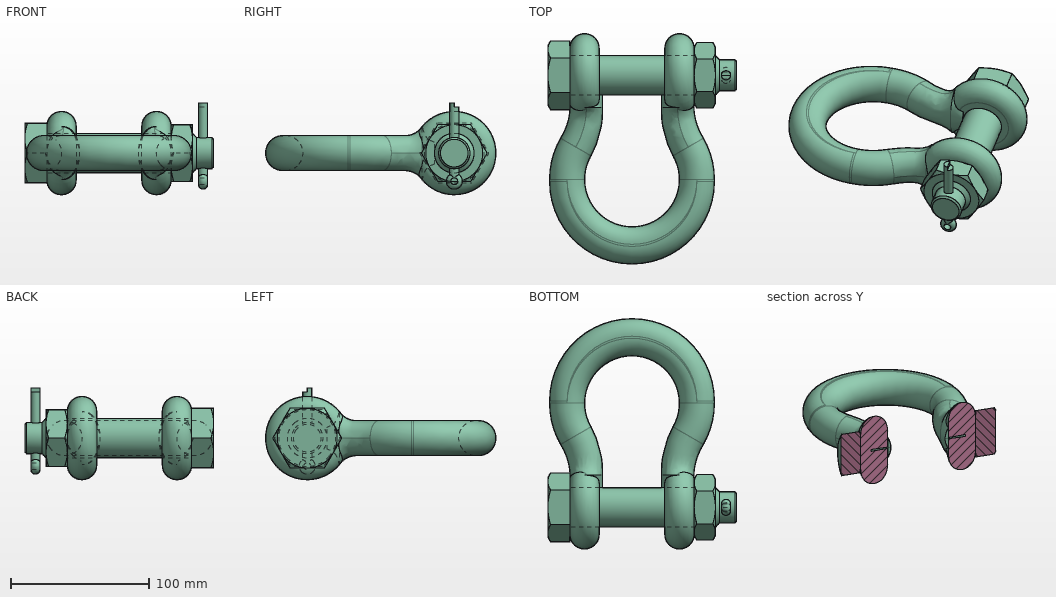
import cadquery as cq
import math


bar_diameter = 25.5
bow_inner_radius = 34.2
bow_center_y = -75.3
crown_shift = 1.5
neck_angle = 30

eye_radius = 30.2
eye_width = 21.3
eye_x = 34.3

neck_end_x = 33.0
neck_end_half_width = 11.8
neck_blend_radius = 14.2
neck_sections = 11
neck_root_y = -14.3

bolt_radius = 14.3
head_left_x = -60.8
head_across_flats = 43.2
nut_right_x = 60.3
nut_across_flats = 41.2
hex_chamfer_angle = 30
tip_radius = 11.3
bolt_end_x = 75.6
tip_chamfer = 1.3
cotter_x = 68.0
cotter_radius = 3.3
front_leg_top_z = 36.3
back_leg_top_z = 33.3
cotter_ring_z = -20.3
cotter_ring_radius = 5.8

bar_radius = bar_diameter / 2
bow_radius = bow_inner_radius + bar_radius
crown_center_y = bow_center_y - crown_shift
eye_outer_x = eye_x + eye_width / 2
neck_turn = math.radians(neck_angle)
neck_start_x = bow_radius * math.cos(neck_turn)
neck_start_y = bow_center_y + bow_radius * math.sin(neck_turn)
neck_bend_radius = (neck_start_x - neck_end_x) / (1 - math.cos(neck_turn))
neck_end_y = neck_start_y + neck_bend_radius * math.sin(neck_turn)
blend_center_z = bar_radius + neck_blend_radius
blend_center_y = -math.sqrt((eye_radius + neck_blend_radius) ** 2 - blend_center_z**2)


def half_ring(center_y, side):
    """Half turn of a half-round bar; side is -1 for the inner half and +1 for the outer half."""
    return (
        cq.Workplane("XZ", origin=(0, center_y, 0))
        .moveTo(bow_radius, -bar_radius)
        .threePointArc((bow_radius + side * bar_radius, 0), (bow_radius, bar_radius))
        .close()
        .revolve(180, (0, 0), (0, -1))
    )


def crown_flank(side):
    """Short straight half-round bar that joins the offset outer ring to the bow above it."""
    return (
        cq.Workplane("XZ", origin=(side * bow_radius, bow_center_y, 0))
        .moveTo(0, -bar_radius)
        .threePointArc((side * bar_radius, 0), (0, bar_radius))
        .close()
        .extrude(crown_shift)
    )


def make_crown():
    """Lower half of the bow: offset inner and outer rings, with the gap between them filled."""
    crescent = (
        cq.Workplane("XY", origin=(0, 0, -bar_radius))
        .moveTo(-bow_radius, bow_center_y)
        .threePointArc((0, bow_center_y - bow_radius), (bow_radius, bow_center_y))
        .lineTo(bow_radius, crown_center_y)
        .threePointArc((0, crown_center_y - bow_radius), (-bow_radius, crown_center_y))
        .close()
        .extrude(2 * bar_radius)
    )
    crown = half_ring(bow_center_y, -1).union(crescent).union(half_ring(crown_center_y, 1))
    return crown.union(crown_flank(-1)).union(crown_flank(1))


def make_bow_shoulder():
    """Right-hand piece of round bar from the crown up to the neck."""
    return (
        cq.Workplane("XZ", origin=(0, bow_center_y, 0))
        .center(bow_radius, 0)
        .circle(bar_radius)
        .revolve(neck_angle, (-bow_radius, 0), (-bow_radius, 1))
    )


def neck_half_height(y):
    """Half height of the neck, swelling along the concave blend toward the eye."""
    if y < blend_center_y:
        return bar_radius
    return blend_center_z - math.sqrt(neck_blend_radius**2 - (y - blend_center_y) ** 2)


def oval(center, tilt, half_width, half_height):
    """Elliptic wire across the neck; tilt turns it away from the X direction."""
    along_width = cq.Vector(math.cos(tilt), math.sin(tilt), 0)
    normal = cq.Vector(math.sin(tilt), -math.cos(tilt), 0)
    section = cq.Workplane(cq.Plane(center, along_width, normal)).ellipse(half_width, half_height)
    return section.wires().val()


def make_neck():
    """Right-hand neck: bends back to run along Y while it narrows and blends into the eye."""
    sections = []
    for index in range(neck_sections):
        progress = index / (neck_sections - 1)
        turn = neck_turn * (1 - progress)
        x = neck_end_x + neck_bend_radius * (1 - math.cos(turn))
        y = neck_end_y - neck_bend_radius * math.sin(turn)
        half_width = bar_radius + progress * (neck_end_half_width - bar_radius)
        sections.append(oval((x, y, 0), turn, half_width, neck_half_height(y)))
    root_end = oval((neck_end_x, neck_root_y, 0), 0, neck_end_half_width, bar_radius)
    neck = cq.Workplane(cq.Solid.makeLoft(sections))
    root = cq.Workplane(cq.Solid.makeLoft([sections[-1], root_end], True))
    return neck.union(root)


def make_eye():
    """Right-hand eye: a disc with a fully rounded rim."""
    rim_radius = eye_width / 2
    flat_radius = eye_radius - rim_radius
    return (
        cq.Workplane("XY")
        .moveTo(eye_x - rim_radius, 0)
        .lineTo(eye_x - rim_radius, flat_radius)
        .threePointArc((eye_x, eye_radius), (eye_x + rim_radius, flat_radius))
        .lineTo(eye_x + rim_radius, 0)
        .close()
        .revolve(360, (0, 0), (1, 0))
    )


def make_bow():
    """Crown, the neck and eye at each end, and the bolt hole through both eyes."""
    bow = make_crown()
    for piece in (make_bow_shoulder(), make_neck(), make_eye()):
        bow = bow.union(piece, clean=False).union(piece.mirror("YZ"), clean=False)
    bolt_hole = cq.Workplane("YZ", origin=(-eye_outer_x, 0, 0)).circle(bolt_radius).extrude(2 * eye_outer_x)
    return bow.cut(bolt_hole, clean=False)


def make_hex(left_x, right_x, across_flats, chamfer_right):
    """Hexagon with corners toward +Y and -Y; the left end is chamfered, the right one optionally."""
    flat_radius = across_flats / 2
    corner_radius = flat_radius / math.cos(math.pi / 6)
    drop = (corner_radius - flat_radius) * math.tan(math.radians(hex_chamfer_angle))
    outline = [(left_x, 0), (left_x, flat_radius), (left_x + drop, corner_radius)]
    if chamfer_right:
        outline += [(right_x - drop, corner_radius), (right_x, flat_radius)]
    else:
        outline += [(right_x, corner_radius)]
    outline += [(right_x, 0)]
    blank = cq.Workplane("XY").polyline(outline).close().revolve(360, (0, 0), (1, 0))
    prism = (
        cq.Workplane("YZ", origin=(left_x, 0, 0))
        .polygon(6, 2 * corner_radius)
        .extrude(right_x - left_x)
    )
    return prism.intersect(blank)


def make_shank():
    """Bolt shank with a conical step down to the tip behind the nut."""
    step = bolt_radius - tip_radius
    outline = [
        (-eye_outer_x, 0),
        (-eye_outer_x, bolt_radius),
        (nut_right_x, bolt_radius),
        (nut_right_x + step, tip_radius),
        (bolt_end_x - tip_chamfer, tip_radius),
        (bolt_end_x, tip_radius - tip_chamfer),
        (bolt_end_x, 0),
    ]
    return cq.Workplane("XY").polyline(outline).close().revolve(360, (0, 0), (1, 0))


def cotter_leg(side, top_z):
    """Half-round leg; side is -1 for the front (-Y) leg and +1 for the back (+Y) leg."""
    ring_top_z = cotter_ring_z + cotter_ring_radius - cotter_radius
    return (
        cq.Workplane("XY", origin=(cotter_x, 0, ring_top_z))
        .moveTo(-cotter_radius, 0)
        .threePointArc((0, side * cotter_radius), (cotter_radius, 0))
        .close()
        .extrude(top_z - ring_top_z)
    )


def make_cotter():
    """Split pin with two half-round legs and a half-round loop at the bottom."""
    loop_inner_radius = cotter_ring_radius - cotter_radius
    loop = (
        cq.Workplane("XY", origin=(cotter_x, 0, cotter_ring_z))
        .moveTo(-cotter_radius, loop_inner_radius)
        .threePointArc((0, cotter_ring_radius), (cotter_radius, loop_inner_radius))
        .close()
        .revolve(360, (0, 0), (1, 0))
    )
    return cotter_leg(-1, front_leg_top_z).union(cotter_leg(1, back_leg_top_z)).union(loop)


def make_bolt():
    """Bolt with its head, nut and cotter, joined as one body."""
    head = make_hex(head_left_x, -eye_outer_x, head_across_flats, False)
    nut = make_hex(eye_outer_x, nut_right_x, nut_across_flats, True)
    return make_shank().union(head).union(nut).union(make_cotter())


bow = make_bow()
bolt = make_bolt()
result = cq.Compound.makeCompound([bow.solids().val(), bolt.solids().val()])